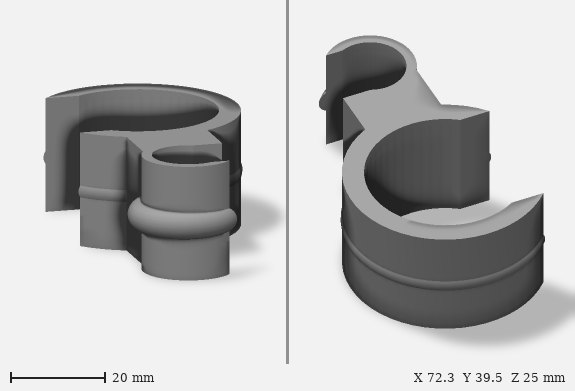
import cadquery as cq

height = 25.0
bead_z = height / 2 - 0.5
bead_radius = 3.0

large_outer_radius = 22.0
large_bore_radius = 17.3
large_mouth_width = 29.0
large_mouth_x = -0.4
large_bead_reach = 22.25

small_x = 38.0
small_outer_radius = 10.0
small_bore_radius = 7.7
small_mouth_width = 14.1
small_bead_reach = 12.0
small_bead_y = -0.95

block_front_y = -8.45
block_back_y = 9.6
block_end_x = small_x - 1.95


def cylinder(x, radius):
    """Full-height cylinder with its axis at (x, 0)."""
    return cq.Workplane("XY").center(x, 0).circle(radius).extrude(height)


def box(x_min, x_max, y_min, y_max):
    """Full-height box between the given X and Y limits."""
    return (
        cq.Workplane("XY")
        .center((x_min + x_max) / 2, (y_min + y_max) / 2)
        .rect(x_max - x_min, y_max - y_min)
        .extrude(height)
    )


def bead(x, y, reach, radius):
    """Round bead circling (x, y), with its outermost edge at the given reach."""
    torus = cq.Solid.makeTorus(reach - radius, radius, cq.Vector(x, y, bead_z))
    return cq.Workplane(obj=torus)


body = cylinder(0, large_outer_radius)
body = body.union(box(0, block_end_x, block_front_y, block_back_y))
body = body.union(cylinder(small_x, small_outer_radius))
body = body.union(bead(0, 0, large_bead_reach, bead_radius))
body = body.union(bead(small_x, small_bead_y, small_bead_reach, bead_radius))

body = body.cut(cylinder(0, large_bore_radius))
body = body.cut(cylinder(small_x, small_bore_radius))

large_mouth_left = large_mouth_x - large_mouth_width / 2
large_mouth_right = large_mouth_x + large_mouth_width / 2
body = body.cut(box(large_mouth_left, large_mouth_right, -large_outer_radius - bead_radius, 0))

small_mouth_left = small_x - small_mouth_width / 2
small_mouth_right = small_x + small_mouth_width / 2
result = body.cut(box(small_mouth_left, small_mouth_right, 0, small_outer_radius + bead_radius))